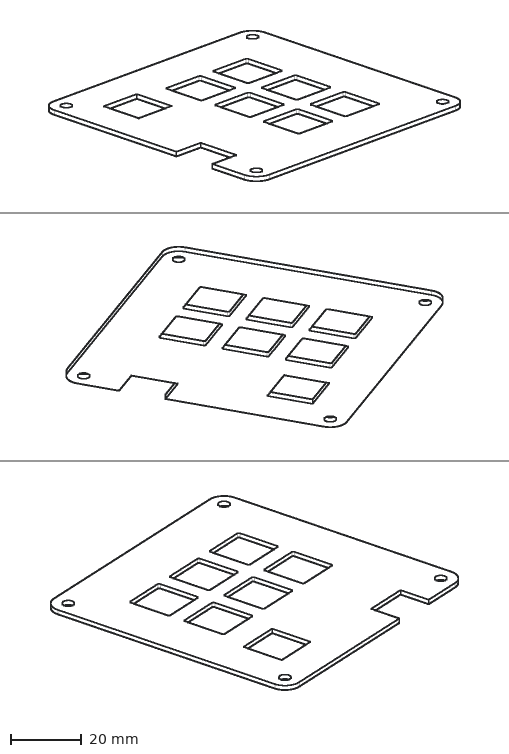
import cadquery as cq

plate_width = 84.5
plate_length = 86.0
plate_thickness = 1.5
corner_radius = 5.0

mount_hole_diameter = 3.4
mount_spacing_x = plate_width - 2 * corner_radius
mount_spacing_y = plate_length - 2 * corner_radius

key_columns = 3
key_rows = 2
key_pitch = 19.1
key_opening_size = 14.0
key_corner_radius = 0.5
key_grid_center = (-0.4, 7.9)

lower_opening_width = 13.7
lower_opening_length = 13.4
lower_opening_center = (-22.45, -24.3)

notch_width = 14.0
notch_depth = 9.9
notch_center_x = 17.7


def make_plate():
    """Flat plate with rounded corners, resting on Z = 0."""
    plate = cq.Workplane("XY").box(plate_width, plate_length, plate_thickness, centered=(True, True, False))
    return plate.edges("|Z").fillet(corner_radius)


def rectangular_cutter(width, length, center):
    """Block through the full plate thickness."""
    return cq.Workplane("XY").center(*center).rect(width, length).extrude(plate_thickness)


def mount_hole_cutters():
    """Round holes at the four corners."""
    centers = cq.Workplane("XY").rect(mount_spacing_x, mount_spacing_y, forConstruction=True).vertices()
    return centers.circle(mount_hole_diameter / 2).extrude(plate_thickness)


def key_cutters():
    """Square switch openings with small corner radii."""
    centers = cq.Workplane("XY").center(*key_grid_center).rarray(key_pitch, key_pitch, key_columns, key_rows)
    blocks = centers.rect(key_opening_size, key_opening_size).extrude(plate_thickness)
    return blocks.edges("|Z").fillet(key_corner_radius)


notch_center = (notch_center_x, (notch_depth - plate_length) / 2)

result = (
    make_plate()
    .cut(mount_hole_cutters())
    .cut(key_cutters())
    .cut(rectangular_cutter(lower_opening_width, lower_opening_length, lower_opening_center))
    .cut(rectangular_cutter(notch_width, notch_depth, notch_center))
)